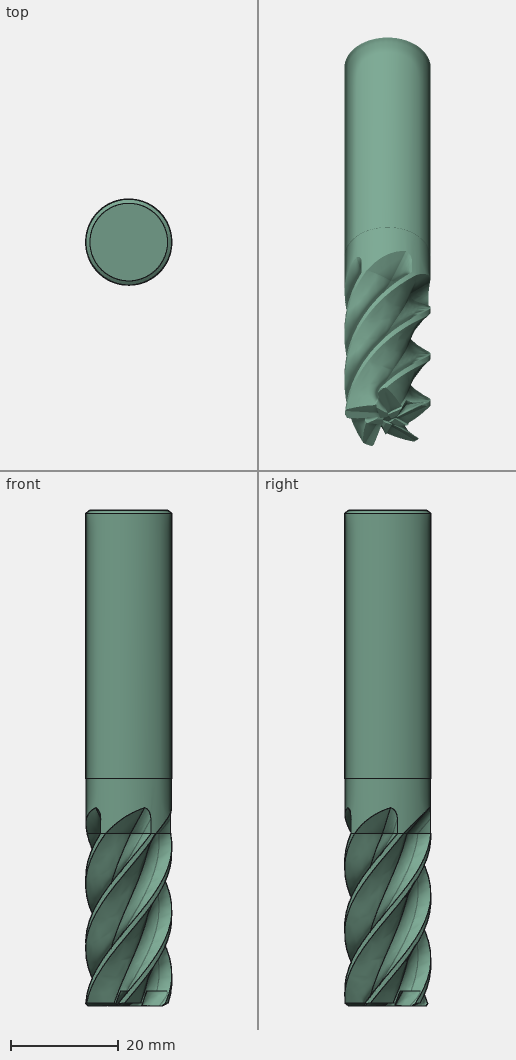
import cadquery as cq
import math

tool_diameter = 16.0
tool_radius = tool_diameter / 2
overall_length = 92.0
cutting_length = 32.0
neck_top = 42.2
neck_clearance = 0.05
shank_chamfer_radial = 0.8
shank_chamfer_height = 0.6

flute_count = 5
flute_pitch = 360.0 / flute_count
helix_angle = 40.0
lead = math.pi * tool_diameter / math.tan(math.radians(helix_angle))
twist = 360.0 * cutting_length / lead

core_radius = 4.2
core_angle = -26.5
back_hollow = 0.2
rake_root_radius = 5.64
rake_root_angle = -3.5
land_angle = 8.3
rake_edge_at_top = -59.0

runout_length = 5.0
runout_lift = 4.3
runout_overrun = 1.5

corner_chamfer = 0.5
end_relief_depth = 0.55
end_relief_width = 1.2
end_edge_inner_radius = 0.8

gash_height = 2.85
gash_corners_at_tip = [(8.5, -0.3), (1.6, 0.4), (4.4, -1.7), (8.5, -1.5)]
gash_corners_at_top = [(8.5, 2.6), (3.6, 0.85), (4.5, -0.7), (8.5, 0)]


def polar(radius, angle):
    """Point in the XY plane at a radius and an angle in degrees."""
    turn = math.radians(angle)
    return cq.Vector(radius * math.cos(turn), radius * math.sin(turn), 0)


def flute_points(rake_angle):
    """Corner points of a flute, from the back of one tooth to the rake edge of the next."""
    back_edge = polar(tool_radius, rake_angle - flute_pitch + land_angle)
    core = polar(core_radius, rake_angle + core_angle)
    rake_root = polar(rake_root_radius, rake_angle + rake_root_angle)
    rake_edge = polar(tool_radius, rake_angle)
    return back_edge, core, rake_root, rake_edge


def flute_edges(rake_angle):
    """Slightly hollow tooth back, concave floor tangent to the rake face, straight rake face."""
    back_edge, core, rake_root, rake_edge = flute_points(rake_angle)
    chord = core - back_edge
    inward = cq.Vector(0, 0, -1).cross(chord).normalized()
    back_middle = back_edge + chord * 0.5 + inward * back_hollow
    return [
        cq.Edge.makeThreePointArc(back_edge, back_middle, core),
        cq.Edge.makeTangentArc(rake_root, rake_root - rake_edge, core),
        cq.Edge.makeLine(rake_root, rake_edge),
    ]


def land_edge(rake_angle):
    """Cylindrical land behind one rake edge."""
    return cq.Edge.makeThreePointArc(
        polar(tool_radius, rake_angle),
        polar(tool_radius, rake_angle + land_angle / 2),
        polar(tool_radius, rake_angle + land_angle),
    )


def make_gash(rake_angle):
    """Ruled pocket that flattens the rake face next to the end cutting edge."""
    wires = []
    for height, corners in ((0, gash_corners_at_tip), (gash_height, gash_corners_at_top)):
        points = [cq.Vector(along, behind, height) for along, behind in corners]
        wires.append(cq.Wire.makePolygon(points, close=True))
    gash = cq.Solid.makeLoft(wires, True)
    return cq.Workplane(gash.rotate(cq.Vector(0, 0, 0), cq.Vector(0, 0, 1), rake_angle))


def make_end_tooth(rake_angle):
    """Ramp rising behind an end cutting edge, from the tip plane to the relieved end face."""
    return (
        cq.Workplane("YZ", origin=(end_edge_inner_radius, 0, 0))
        .polyline([
            (0, 0),
            (end_relief_width, end_relief_depth),
            (-end_relief_width, end_relief_depth),
            (-end_relief_width, 0),
        ])
        .close()
        .extrude(tool_diameter)
        .rotate((0, 0, 0), (0, 0, 1), rake_angle)
    )


def make_cutting_head():
    rake_angles = [rake_edge_at_top - twist + i * flute_pitch for i in range(flute_count)]
    edges = []
    for rake_angle in rake_angles:
        edges += flute_edges(rake_angle) + [land_edge(rake_angle)]
    section = cq.Wire.assembleEdges(edges)
    head = cq.Workplane(cq.Solid.extrudeLinearWithRotation(
        section, [], cq.Vector(0, 0, 0), cq.Vector(0, 0, cutting_length), twist
    ))
    envelope = (
        cq.Workplane("XY")
        .circle(tool_radius)
        .extrude(cutting_length)
        .faces("<Z")
        .chamfer(corner_chamfer)
    )
    end_relief = cq.Workplane("XY").circle(tool_diameter).extrude(end_relief_depth)
    for rake_angle in rake_angles:
        envelope = envelope.cut(make_gash(rake_angle))
        end_relief = end_relief.cut(make_end_tooth(rake_angle))
    return head.intersect(envelope.cut(end_relief))


def runout_cutter(rake_angle):
    """Flute section carried up the neck while it leaves along the rake face."""
    back_edge, core, rake_root, rake_edge = flute_points(rake_angle)
    outward = (rake_edge - rake_root).normalized()
    back_outer = back_edge + (back_edge - core).normalized() * tool_radius
    rake_outer = rake_edge + outward * tool_radius
    edges = flute_edges(rake_angle)
    edges.append(cq.Edge.makeLine(back_outer, back_edge))
    edges[2] = cq.Edge.makeLine(rake_root, rake_outer)
    edges.append(cq.Edge.makeLine(rake_outer, back_outer))
    base = cq.Wire.assembleEdges(edges).translate(cq.Vector(0, 0, cutting_length))
    path = (outward * runout_lift + cq.Vector(0, 0, runout_length)) * runout_overrun
    return cq.Solid.extrudeLinear(base, [], path)


def make_shank():
    neck_radius = tool_radius - neck_clearance
    shank = (
        cq.Workplane("XZ")
        .moveTo(0, cutting_length)
        .lineTo(neck_radius, cutting_length)
        .lineTo(neck_radius, neck_top)
        .lineTo(tool_radius, neck_top)
        .lineTo(tool_radius, overall_length - shank_chamfer_height)
        .lineTo(tool_radius - shank_chamfer_radial, overall_length)
        .lineTo(0, overall_length)
        .close()
        .revolve(360, (0, 0, 0), (0, 1, 0))
    )
    for i in range(flute_count):
        shank = shank.cut(cq.Workplane(runout_cutter(rake_edge_at_top + i * flute_pitch)))
    return shank


cutting_head = make_cutting_head()
shank = make_shank()
result = cq.Compound.makeCompound([cutting_head.val(), shank.val()])